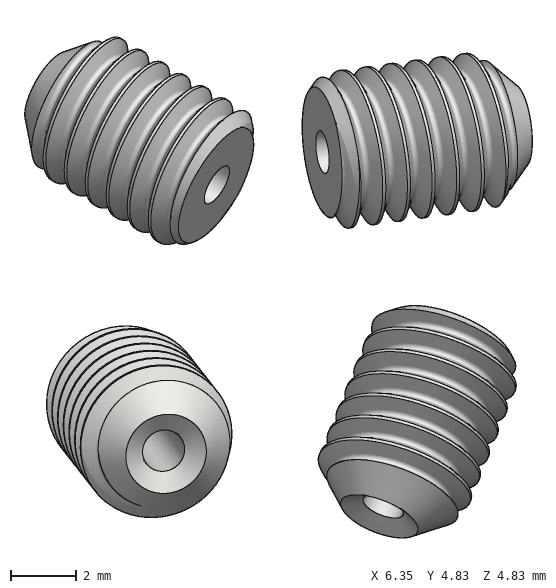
import cadquery as cq
import math

length = 6.35
major_radius = 4.83 / 2
pitch = length / 8
thread_height = pitch * math.sqrt(3) / 2
crest_flat = pitch / 8
root_radius = thread_height / 6
flank_angle = math.radians(30)

point_radius = 1.265
end_radius = 2.01
bore_radius = 0.66
cup_depth = 0.35

groove_overcut = 0.03
groove_turns = 9


def make_blank():
    """Body along Z with a 45 degree chamfer at each end, a conical cup and a through bore."""
    point_chamfer = major_radius - point_radius
    end_chamfer = major_radius - end_radius
    return (
        cq.Workplane("XZ")
        .moveTo(bore_radius, cup_depth)
        .lineTo(point_radius, 0)
        .lineTo(major_radius, point_chamfer)
        .lineTo(major_radius, length - end_chamfer)
        .lineTo(end_radius, length)
        .lineTo(bore_radius, length)
        .close()
        .revolve(360, (0, 0, 0), (0, 1, 0))
    )


def make_groove_turn():
    """One right-hand turn of a V groove with a rounded root, starting at the -Z end."""
    half_mouth = (pitch - crest_flat) / 2
    apex = major_radius - half_mouth / math.tan(flank_angle)
    root_center = apex + root_radius / math.sin(flank_angle)
    root_bottom = root_center - root_radius
    tangent_radius = root_center - root_radius * math.sin(flank_angle)
    tangent_half_width = root_radius * math.cos(flank_angle)
    outer_radius = major_radius + groove_overcut
    outer_half_width = half_mouth + groove_overcut * math.tan(flank_angle)

    path = cq.Wire.makeHelix(pitch, pitch, major_radius)
    return (
        cq.Workplane("XZ")
        .moveTo(outer_radius, -outer_half_width)
        .lineTo(tangent_radius, -tangent_half_width)
        .threePointArc((root_bottom, 0), (tangent_radius, tangent_half_width))
        .lineTo(outer_radius, outer_half_width)
        .close()
        .sweep(cq.Workplane(obj=path), isFrenet=True)
    )


groove_turn = make_groove_turn()
screw = make_blank()
for turn in range(groove_turns):
    screw = screw.cut(groove_turn.translate((0, 0, turn * pitch)))

result = screw.rotate((0, 0, 0), (1, 1, 1), 120)